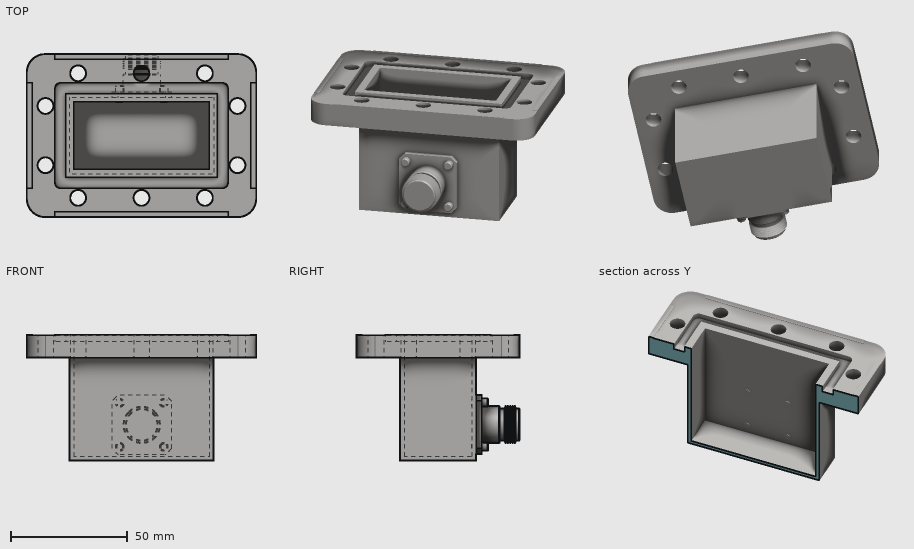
import cadquery as cq

flange_length = 98.4
flange_width = 70.0
total_height = 54.0

cavity_length = 58.1
cavity_width = 29.0
wall = 1.9
body_length = cavity_length + 2 * wall
body_width = cavity_width + 2 * wall

flange_thickness = 9.9
flange_corner_radius = 8.0
contact_height = 0.2
relieved_face_z = total_height - contact_height
flange_bottom_z = total_height - flange_thickness

rim_width = 3.3
groove_width = 4.7
groove_depth = 3.0
groove_corner_radius = 2.6
rim_length = cavity_length + 2 * rim_width
rim_breadth = cavity_width + 2 * rim_width
groove_length = rim_length + 2 * groove_width
groove_breadth = rim_breadth + 2 * groove_width

strip_width = 2.4

bolt_hole_diameter = 6.7
long_row_pitch = 27.2
long_row_y = 26.7
short_row_pitch = 25.4
short_row_x = 41.1

connector_z = 15.5
connector_plate_side = 25.4
connector_plate_thickness = 2.5
connector_plate_chamfer = 2.5
barrel_radius = 8.0
barrel_length = 7.7
barrel_chamfer = 0.4
neck_radius = 7.0
tip_chamfer = 0.4

thread_radius = barrel_radius
thread_pitch = 1.0
thread_ridges = 5
thread_start = 1.6

screw_offset = 9.4
screw_head_diameter = 3.7
screw_head_height = 2.7
screw_head_chamfer = 0.4
screw_shank_diameter = 2.6
screw_protrusion = 0.2

wall_y = body_width / 2
plate_face_y = wall_y + connector_plate_thickness
barrel_end_y = plate_face_y + barrel_length
tip_y = flange_width / 2


def block(length, width, bottom_z, top_z):
    """Box centred on the Z axis between two heights."""
    return (
        cq.Workplane("XY", origin=(0, 0, bottom_z))
        .rect(length, width)
        .extrude(top_z - bottom_z)
    )


def wall_plane(y):
    """Plane facing +Y, centred on the connector axis."""
    return cq.Workplane("XZ", origin=(0, y, connector_z))


def make_flange():
    plate = block(flange_length, flange_width, flange_bottom_z, total_height)
    plate = plate.edges("|Z").fillet(flange_corner_radius)

    strip_inner_length = flange_length - 2 * strip_width
    strip_inner_width = flange_width - 2 * strip_width
    relief = block(flange_length, flange_width, relieved_face_z, total_height)
    long_strips = block(groove_length, flange_width, relieved_face_z, total_height).cut(
        block(groove_length, strip_inner_width, relieved_face_z, total_height)
    )
    short_strips = block(flange_length, groove_breadth, relieved_face_z, total_height).cut(
        block(strip_inner_length, groove_breadth, relieved_face_z, total_height)
    )
    rim = block(rim_length, rim_breadth, total_height - groove_depth, total_height)
    groove = block(groove_length, groove_breadth, total_height - groove_depth, total_height)
    groove = groove.edges("|Z").fillet(groove_corner_radius)

    plate = plate.cut(relief.cut(long_strips).cut(short_strips).cut(rim))
    return plate.cut(groove.cut(rim))


def make_bolt_holes():
    long_rows = [(i * long_row_pitch, side * long_row_y) for i in (-1, 0, 1) for side in (-1, 1)]
    short_rows = [(side * short_row_x, i * short_row_pitch / 2) for i in (-1, 1) for side in (-1, 1)]
    return (
        cq.Workplane("XY", origin=(0, 0, flange_bottom_z))
        .pushPoints(long_rows + short_rows)
        .circle(bolt_hole_diameter / 2)
        .extrude(flange_thickness)
    )


def make_connector_barrel():
    """Turned barrel and threaded neck; the profile is (radius, y) about the connector axis."""
    thread_end = tip_y - thread_start
    thread_base = thread_end - thread_ridges * thread_pitch
    profile = [
        (0, wall_y),
        (barrel_radius, wall_y),
        (barrel_radius, barrel_end_y - barrel_chamfer),
        (barrel_radius - barrel_chamfer, barrel_end_y),
        (neck_radius, barrel_end_y),
    ]
    for ridge in range(thread_ridges):
        root_y = thread_base + ridge * thread_pitch
        profile.append((neck_radius, root_y))
        profile.append((thread_radius, root_y + thread_pitch / 2))
    profile += [
        (neck_radius, thread_end),
        (neck_radius, tip_y - tip_chamfer),
        (neck_radius - tip_chamfer, tip_y),
        (0, tip_y),
    ]
    turned = cq.Workplane("XY").polyline(profile).close().revolve(360, (0, 0), (0, 1))
    return turned.translate((0, 0, connector_z))


def make_connector_plate():
    plate = wall_plane(wall_y).rect(connector_plate_side, connector_plate_side)
    plate = plate.extrude(-connector_plate_thickness)
    return plate.edges("|Y").chamfer(connector_plate_chamfer)


def make_screws():
    """Four screws whose shanks pass the wall and end just inside the cavity."""
    shank_end_y = cavity_width / 2 - screw_protrusion
    spacing = 2 * screw_offset
    heads = wall_plane(plate_face_y).rarray(spacing, spacing, 2, 2).circle(screw_head_diameter / 2)
    heads = heads.extrude(-screw_head_height).faces(">Y").chamfer(screw_head_chamfer)
    shanks = wall_plane(shank_end_y).rarray(spacing, spacing, 2, 2).circle(screw_shank_diameter / 2)
    return heads.union(shanks.extrude(shank_end_y - plate_face_y))


body = block(body_length, body_width, 0, flange_bottom_z)
cavity = block(cavity_length, cavity_width, wall, total_height)

result = body.union(make_flange()).cut(cavity).cut(make_bolt_holes())
result = result.union(make_connector_plate()).union(make_connector_barrel()).union(make_screws())